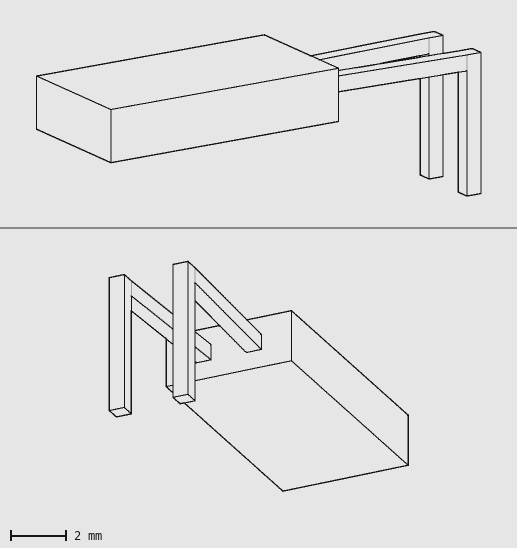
import cadquery as cq

body_width = 5.0
body_length = 9.7
body_height = 2.0

lead_size = 0.6
overall_length = 16.35
overall_height = 6.0
root_pitch = 2.0
tip_pitch = 2.54

leg_front = overall_length - lead_size
lead_bottom = (body_height - lead_size) / 2
lead_top = lead_bottom + lead_size
leg_bottom = body_height - overall_height


def make_body():
    """Plain rectangular block."""
    return cq.Workplane("XY").box(
        body_width, body_length, body_height, centered=(True, False, False)
    )


def make_lead(side):
    """One lead: splayed horizontal run plus vertical leg; side is -1 or +1."""
    root_x = side * root_pitch / 2
    tip_x = side * tip_pitch / 2
    half = lead_size / 2
    run = (
        cq.Workplane("XY")
        .workplane(offset=lead_bottom)
        .moveTo(root_x - half, body_length)
        .lineTo(root_x + half, body_length)
        .lineTo(tip_x + half, leg_front)
        .lineTo(tip_x - half, leg_front)
        .close()
        .extrude(lead_size)
    )
    leg = (
        cq.Workplane("XY")
        .workplane(offset=leg_bottom)
        .center(tip_x, leg_front + half)
        .rect(lead_size, lead_size)
        .extrude(lead_top - leg_bottom)
    )
    return run.union(leg)


result = make_body()
for lead_side in (-1, 1):
    result = result.union(make_lead(lead_side))